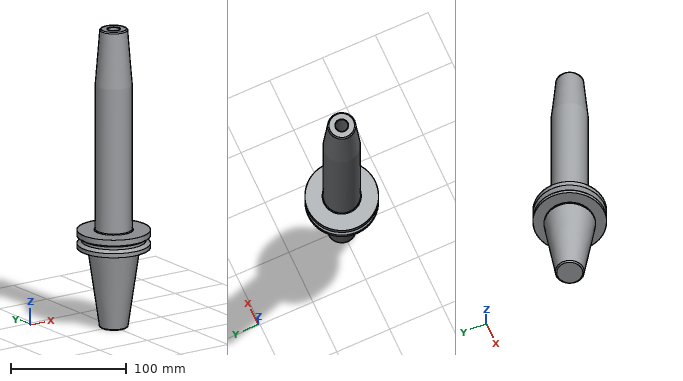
import cadquery as cq

total_length = 268.5

gauge_height = 68.5
gauge_radius = 22.3
taper_slope = 7 / 24 / 2
taper_end_radius = gauge_radius - taper_slope * gauge_height
taper_end_chamfer = 1.0
gauge_land = 1.3
neck_radius = 21.5

flange_radius = 63.5 / 2
flange_bottom = 71.7
flange_top = 87.5
groove_center = 79.0
groove_mouth_width = 7.0
groove_floor_width = 2.5
groove_floor_radius = 28.0

shank_radius = 16.0
shank_root_chamfer = 0.8
nose_length = 50.2
nose_radius = 12.0
nose_chamfer = 1.0

bore_radius = 5.5
bore_depth = 47.0
bore_chamfer = 0.5


def make_body():
    """Revolve the outer half profile, listed from the taper end up to the nose."""
    taper_start_radius = taper_end_radius + taper_slope * taper_end_chamfer
    nose_slope = (shank_radius - nose_radius) / nose_length
    nose_edge_radius = nose_radius + nose_slope * nose_chamfer
    profile = [
        (0, 0),
        (taper_end_radius - taper_end_chamfer, 0),
        (taper_start_radius, taper_end_chamfer),
        (gauge_radius, gauge_height),
        (gauge_radius, gauge_height + gauge_land),
        (neck_radius, gauge_height + gauge_land),
        (neck_radius, flange_bottom),
        (flange_radius, flange_bottom),
        (flange_radius, groove_center - groove_mouth_width / 2),
        (groove_floor_radius, groove_center - groove_floor_width / 2),
        (groove_floor_radius, groove_center + groove_floor_width / 2),
        (flange_radius, groove_center + groove_mouth_width / 2),
        (flange_radius, flange_top),
        (shank_radius + shank_root_chamfer, flange_top),
        (shank_radius, flange_top + shank_root_chamfer),
        (shank_radius, total_length - nose_length),
        (nose_edge_radius, total_length - nose_chamfer),
        (nose_radius - nose_chamfer, total_length),
        (0, total_length),
    ]
    return cq.Workplane("XZ").polyline(profile).close().revolve(360, (0, 0, 0), (0, 1, 0))


def make_bore():
    """Blind tool bore with a chamfered mouth in the nose face."""
    profile = [
        (0, total_length - bore_depth),
        (bore_radius, total_length - bore_depth),
        (bore_radius, total_length - bore_chamfer),
        (bore_radius + bore_chamfer, total_length),
        (0, total_length),
    ]
    return cq.Workplane("XZ").polyline(profile).close().revolve(360, (0, 0, 0), (0, 1, 0))


result = make_body().cut(make_bore())